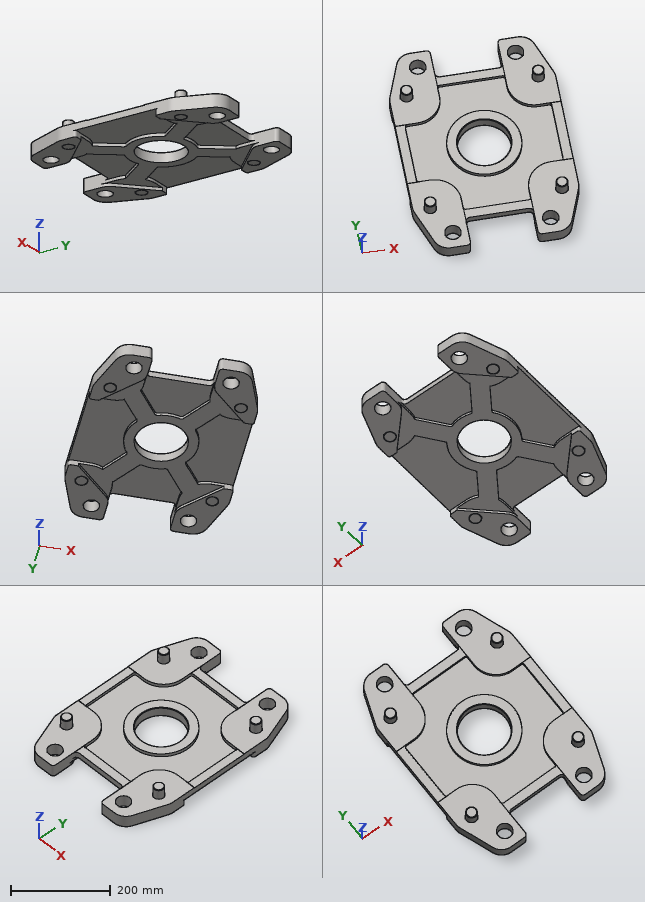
import cadquery as cq
import math

length = 470.0
width = 340.0
half_length = length / 2
half_width = width / 2

pad_height = 30.0
pin_top = 55.0
plate_bottom = 14.0
rail_top = 29.0
recess_floor = 22.0
rib_bottom = 7.0

pad_inner = 69.0
pad_inner_radius = 55.0
pad_tip_radius = 8.0
pad_outer_radius = 33.0
taper_start_y = 134.5
taper_end_x = 133.0
leg_inner_y = 95.0
leg_edge_radius = 5.0
foot_cut = 81.0
foot_radius = 30.0

recess_half = 150.0
plate_fillet = 9.0
recess_fillet = 5.0

ring_diameter = 152.0
bore_diameter = 109.0
bore_mouth_diameter = 112.0
rib_width = 40.0
rib_length = 164.5
rib_fillet = 5.0
rib_angle = math.degrees(math.atan2(leg_inner_y, pad_inner))

mount_hole_diameter = 33.0
mount_hole_x = 100.0
mount_hole_y = 199.8
pin_diameter = 24.0
pin_hole_diameter = 26.0
pin_chamfer = 1.5
pin_offset = 135.0

corner_signs = [(sx, sy) for sx in (1, -1) for sy in (1, -1)]
pin_places = [(sx * pin_offset, sy * pin_offset) for sx, sy in corner_signs]
mount_places = [(sx * mount_hole_x, sy * mount_hole_y) for sx, sy in corner_signs]


def upright_edge(body, x, y):
    """The upright edge of the body nearest to (x, y)."""
    middle = body.val().Center().z
    nearest = cq.selectors.NearestToPointSelector((x, y, middle))
    return body.edges("|Z").edges(nearest)


def fillet_upright(body, x, y, radius):
    """Round the upright edge of the body nearest to (x, y)."""
    return upright_edge(body, x, y).fillet(radius)


def pad_block(inner_y, bottom, top):
    """Pad of the +X +Y corner, with a sharp inner corner at inner_y."""
    block = (
        cq.Workplane("XY", origin=(0, 0, bottom))
        .moveTo(half_width, inner_y)
        .lineTo(pad_inner, inner_y)
        .lineTo(pad_inner, half_length)
        .lineTo(taper_end_x, half_length)
        .lineTo(half_width, taper_start_y)
        .close()
        .extrude(top - bottom)
    )
    block = fillet_upright(block, pad_inner, half_length, pad_tip_radius)
    block = fillet_upright(block, taper_end_x, half_length, pad_outer_radius)
    return fillet_upright(block, half_width, taper_start_y, pad_outer_radius)


def on_all_corners(block):
    """The block of the +X +Y corner together with its three mirror images."""
    pair = block.union(block.mirror("YZ"))
    return pair.union(pair.mirror("XZ"))


def upper_pad(top):
    """Rounded pad of the +X +Y corner, from the plate underside up to the given height."""
    block = pad_block(pad_inner, plate_bottom, top)
    return fillet_upright(block, pad_inner, pad_inner, pad_inner_radius)


def upper_pads():
    """All four pads above the plate underside."""
    return on_all_corners(upper_pad(pad_height))


def legs():
    """Lower parts of the pads: a skirt down to the rib underside and a foot below it."""
    skirt = pad_block(leg_inner_y, rib_bottom, plate_bottom)
    skirt = fillet_upright(skirt, pad_inner, leg_inner_y, pad_inner_radius)
    skirt = fillet_upright(skirt, half_width, leg_inner_y, leg_edge_radius)

    foot = pad_block(leg_inner_y, 0, rib_bottom)
    foot = upright_edge(foot, pad_inner, leg_inner_y).chamfer(foot_cut)
    foot = fillet_upright(foot, pad_inner, leg_inner_y + foot_cut, foot_radius)
    foot = fillet_upright(foot, half_width, leg_inner_y, leg_edge_radius)
    return on_all_corners(skirt.union(foot))


def plate():
    """Cross-shaped plate with rails, joined to the pads by fillets at its Y ends."""
    thickness = rail_top - plate_bottom
    arm_width = 2 * (pad_inner + pad_inner_radius)
    base = cq.Workplane("XY", origin=(0, 0, plate_bottom))
    body = base.rect(width, arm_width).extrude(thickness)
    body = body.union(base.rect(arm_width, width).extrude(thickness))
    body = body.union(on_all_corners(upper_pad(rail_top)))
    for sx, sy in corner_signs:
        body = fillet_upright(body, sx * pad_inner, sy * half_width, plate_fillet)
    return body


def recess():
    """Pocket between the rails and around the pads, with rounded corners."""
    side = 2 * recess_half
    depth = pad_height - recess_floor
    pocket = cq.Workplane("XY", origin=(0, 0, recess_floor)).rect(side, side).extrude(depth)
    pocket = pocket.cut(upper_pads())
    for sx, sy in corner_signs:
        pocket = fillet_upright(pocket, sx * pad_inner, sy * recess_half, recess_fillet)
        pocket = fillet_upright(pocket, sx * recess_half, sy * pad_inner, recess_fillet)
    return pocket


def ring():
    """Raised ring around the bore, level with the pads."""
    return (
        cq.Workplane("XY", origin=(0, 0, plate_bottom))
        .circle(ring_diameter / 2)
        .extrude(pad_height - plate_bottom)
    )


def ribs():
    """Two crossed ribs and the ring boss under the plate, filleted where they meet."""
    depth = plate_bottom - rib_bottom
    base = cq.Workplane("XY", origin=(0, 0, rib_bottom))
    body = base.circle(ring_diameter / 2).extrude(depth)
    for angle in (rib_angle, -rib_angle):
        rib = base.transformed(rotate=(0, 0, angle)).rect(2 * rib_length, rib_width).extrude(depth)
        body = body.union(rib)
    half_spread = math.degrees(math.asin(rib_width / ring_diameter))
    for sx, sy in corner_signs:
        for side in (-half_spread, half_spread):
            angle = math.radians(rib_angle + side)
            x = sx * ring_diameter / 2 * math.cos(angle)
            y = sy * ring_diameter / 2 * math.sin(angle)
            body = fillet_upright(body, x, y, rib_fillet)
    return body


def through_holes(places, diameter):
    """Cutters for round holes through the full pad height."""
    return cq.Workplane("XY").pushPoints(places).circle(diameter / 2).extrude(pad_height)


def bore():
    """Cutter for the central bore, with a small chamfer at its upper mouth."""
    chamfer = (bore_mouth_diameter - bore_diameter) / 2
    mouth_bottom = pad_height - chamfer
    return (
        cq.Workplane("XZ")
        .lineTo(bore_diameter / 2, 0)
        .lineTo(bore_diameter / 2, mouth_bottom)
        .lineTo(bore_mouth_diameter / 2, pad_height)
        .lineTo(0, pad_height)
        .close()
        .revolve(360, (0, 0), (0, 1))
    )


def make_housing():
    """One-piece plate, pads, legs, ribs and ring with all holes cut."""
    body = plate().cut(recess())
    for addition in (upper_pads(), legs(), ribs(), ring()):
        body = body.union(addition)
    body = body.cut(bore())
    body = body.cut(through_holes(mount_places, mount_hole_diameter))
    return body.cut(through_holes(pin_places, pin_hole_diameter))


def make_pin(x, y):
    """Straight pin, flush with the underside and chamfered at the top."""
    pin = cq.Workplane("XY", origin=(x, y, 0)).circle(pin_diameter / 2).extrude(pin_top)
    return pin.faces(">Z").chamfer(pin_chamfer)


housing = make_housing()
pins = [make_pin(x, y).val() for x, y in pin_places]

result = cq.Compound.makeCompound([housing.val(), *pins])